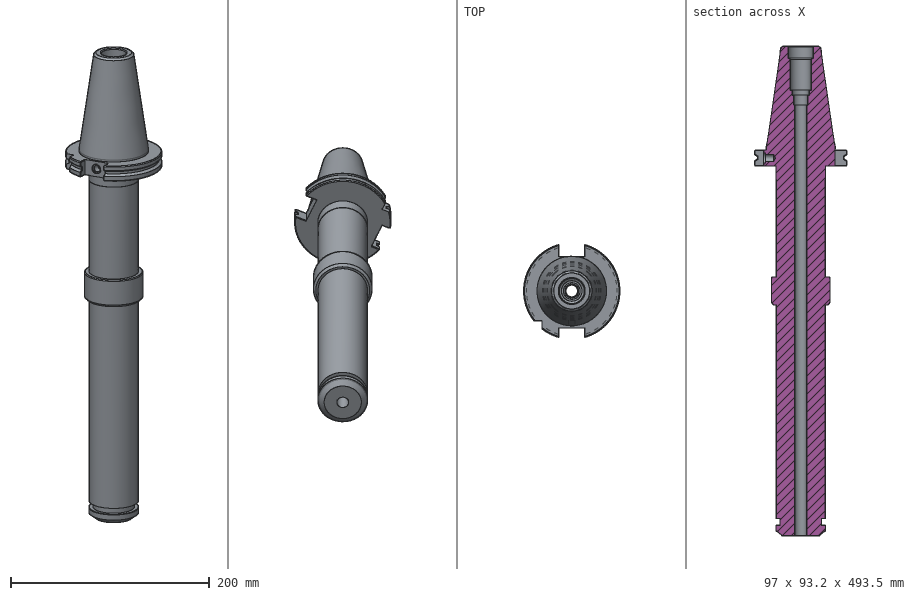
import cadquery as cq

TOTAL_LENGTH = 493.5
TAPER_LENGTH = 102.5
FLANGE_TOP = 104.5
FLANGE_BOTTOM = 121.0
NECK_BOTTOM = 134.8
COLLAR_TOP = 232.5
COLLAR_BOTTOM = 261.0
NUT_GROOVE_TOP = 476.5
NUT_TOP = 482.5
NUT_RIM_BOTTOM = 488.5
NUT_SHOULDER = 489.0

TAPER_LARGE_DIAMETER = 70.0
TAPER_RATIO = 7 / 24
FLANGE_DIAMETER = 97.0
NECK_DIAMETER = 50.5
SHANK_DIAMETER = 50.0
COLLAR_DIAMETER = 59.0
NUT_GROOVE_DIAMETER = 42.0
NUT_DIAMETER = 50.5
NUT_SHOULDER_DIAMETER = 48.5
NUT_FACE_DIAMETER = 37.5

TAPER_CHAMFER = 2.0
FLANGE_CHAMFER = 1.0
COLLAR_TOP_CHAMFER = 1.0
COLLAR_BOTTOM_CHAMFER = 2.5
NUT_TOP_CHAMFER = 0.5

RIM_GROOVE_ROOT_DIAMETER = 91.5
RIM_GROOVE_MIDDLE = 112.5
RIM_GROOVE_ROOT_WIDTH = 2.5
RIM_GROOVE_MOUTH_WIDTH = 6.5

MOUTH_DIAMETER = 27.0
PILOT_DIAMETER = 25.0
PILOT_DEPTH = 12.0
THREAD_CHAMFER_HEIGHT = 1.5
THREAD_DIAMETER = 20.5
THREAD_DEPTH = 44.5
STEP_DIAMETER = 17.0
STEP_DEPTH = 49.5
LOWER_BORE_DIAMETER = 14.0
LOWER_BORE_DEPTH = 59.0
THROUGH_DIAMETER = 12.0

KEYWAY_WIDTH = 25.5
FRONT_KEYWAY_FLOOR = 37.5
REAR_KEYWAY_FLOOR = 34.5
KEYWAY_CHAMFER = 0.75
NOTCH_OFFSET = 30.0

SIDE_HOLE_DIAMETER = 7.0
SIDE_HOLE_DEPTH = 10.0
SIDE_COUNTERBORE_DIAMETER = 10.0
SIDE_COUNTERBORE_DEPTH = 2.0
SIDE_HOLE_TIP_DEPTH = 2.0

TOLERANCE = 0.005

FLANGE_MIDDLE = (FLANGE_TOP + FLANGE_BOTTOM) / 2


def height(depth):
    """Z of a level given by its distance below the small end of the taper."""
    return TOTAL_LENGTH - depth


def revolve(profile):
    """Revolve (diameter, depth) points, closed along the axis, about Z."""
    points = [(diameter / 2, height(depth)) for diameter, depth in profile]
    points = [(0, points[0][1])] + points + [(0, points[-1][1])]
    return cq.Workplane("XZ").polyline(points).close().revolve(360, (0, 0), (0, 1))


def turned_body():
    small_diameter = TAPER_LARGE_DIAMETER - TAPER_RATIO * TAPER_LENGTH
    chamfered_taper_diameter = small_diameter + TAPER_RATIO * TAPER_CHAMFER
    half_mouth = RIM_GROOVE_MOUTH_WIDTH / 2
    half_root = RIM_GROOVE_ROOT_WIDTH / 2
    return revolve([
        (small_diameter - 2 * TAPER_CHAMFER, 0),
        (chamfered_taper_diameter, TAPER_CHAMFER),
        (TAPER_LARGE_DIAMETER, TAPER_LENGTH),
        (TAPER_LARGE_DIAMETER, FLANGE_TOP),
        (FLANGE_DIAMETER - 2 * FLANGE_CHAMFER, FLANGE_TOP),
        (FLANGE_DIAMETER, FLANGE_TOP + FLANGE_CHAMFER),
        (FLANGE_DIAMETER, RIM_GROOVE_MIDDLE - half_mouth),
        (RIM_GROOVE_ROOT_DIAMETER, RIM_GROOVE_MIDDLE - half_root),
        (RIM_GROOVE_ROOT_DIAMETER, RIM_GROOVE_MIDDLE + half_root),
        (FLANGE_DIAMETER, RIM_GROOVE_MIDDLE + half_mouth),
        (FLANGE_DIAMETER, FLANGE_BOTTOM - FLANGE_CHAMFER),
        (FLANGE_DIAMETER - 2 * FLANGE_CHAMFER, FLANGE_BOTTOM),
        (NECK_DIAMETER, FLANGE_BOTTOM),
        (NECK_DIAMETER, NECK_BOTTOM),
        (SHANK_DIAMETER, NECK_BOTTOM),
        (SHANK_DIAMETER, COLLAR_TOP),
        (COLLAR_DIAMETER - 2 * COLLAR_TOP_CHAMFER, COLLAR_TOP),
        (COLLAR_DIAMETER, COLLAR_TOP + COLLAR_TOP_CHAMFER),
        (COLLAR_DIAMETER, COLLAR_BOTTOM - COLLAR_BOTTOM_CHAMFER),
        (COLLAR_DIAMETER - 2 * COLLAR_BOTTOM_CHAMFER, COLLAR_BOTTOM),
        (SHANK_DIAMETER, COLLAR_BOTTOM),
        (SHANK_DIAMETER, NUT_GROOVE_TOP),
        (NUT_GROOVE_DIAMETER, NUT_GROOVE_TOP),
        (NUT_GROOVE_DIAMETER, NUT_TOP),
        (NUT_DIAMETER - 2 * NUT_TOP_CHAMFER, NUT_TOP),
        (NUT_DIAMETER, NUT_TOP + NUT_TOP_CHAMFER),
        (NUT_DIAMETER, NUT_RIM_BOTTOM),
        (NUT_SHOULDER_DIAMETER, NUT_SHOULDER),
        (NUT_FACE_DIAMETER, TOTAL_LENGTH),
    ])


def axial_bore():
    mouth_chamfer = (MOUTH_DIAMETER - PILOT_DIAMETER) / 2
    return revolve([
        (MOUTH_DIAMETER, 0),
        (PILOT_DIAMETER, mouth_chamfer),
        (PILOT_DIAMETER, PILOT_DEPTH),
        (THREAD_DIAMETER, PILOT_DEPTH + THREAD_CHAMFER_HEIGHT),
        (THREAD_DIAMETER, THREAD_DEPTH),
        (STEP_DIAMETER, THREAD_DEPTH),
        (STEP_DIAMETER, STEP_DEPTH),
        (LOWER_BORE_DIAMETER, STEP_DEPTH),
        (LOWER_BORE_DIAMETER, LOWER_BORE_DEPTH),
        (THROUGH_DIAMETER, LOWER_BORE_DEPTH),
        (THROUGH_DIAMETER, TOTAL_LENGTH),
    ])


def flange_block(x_min, x_max, y_min, y_max):
    """Cutting block as tall as the flange."""
    thickness = FLANGE_BOTTOM - FLANGE_TOP
    corner = (x_min, y_min, height(FLANGE_BOTTOM))
    return cq.Workplane("XY").box(x_max - x_min, y_max - y_min, thickness, centered=False).translate(corner)


def flange_cutouts():
    reach = FLANGE_DIAMETER / 2
    half_width = KEYWAY_WIDTH / 2
    front_keyway = flange_block(-half_width, half_width, -reach, -FRONT_KEYWAY_FLOOR)
    rear_keyway = flange_block(-half_width, half_width, REAR_KEYWAY_FLOOR, reach)
    corner_notch = flange_block(-reach, -NOTCH_OFFSET, -reach, -NOTCH_OFFSET)
    return front_keyway.union(rear_keyway).union(corner_notch)


def side_hole():
    """Counterbored radial hole with a conical drill tip."""
    floor = cq.Workplane("XZ", origin=(0, -FRONT_KEYWAY_FLOOR, height(FLANGE_MIDDLE)))
    counterbore = floor.circle(SIDE_COUNTERBORE_DIAMETER / 2).extrude(-SIDE_COUNTERBORE_DEPTH)
    hole = floor.circle(SIDE_HOLE_DIAMETER / 2).extrude(-SIDE_HOLE_DEPTH)
    tip_start = cq.Vector(0, SIDE_HOLE_DEPTH - FRONT_KEYWAY_FLOOR, height(FLANGE_MIDDLE))
    inward = cq.Vector(0, 1, 0)
    tip = cq.Workplane(cq.Solid.makeCone(SIDE_HOLE_DIAMETER / 2, 0, SIDE_HOLE_TIP_DEPTH, tip_start, inward))
    return counterbore.union(hole).union(tip)


def keyway_rim_edges(body):
    """Edges where the keyway walls meet the flange faces and rim, without the floor edges."""
    half_width = KEYWAY_WIDTH / 2
    edges = []
    for edge in body.edges().vals():
        box = edge.BoundingBox()
        on_wall = box.xlen < TOLERANCE and abs(abs(box.center.x) - half_width) < TOLERANCE
        on_floor = box.ylen < TOLERANCE and box.zlen > FLANGE_BOTTOM - FLANGE_TOP - TOLERANCE
        if on_wall and not on_floor:
            edges.append(edge)
    return edges


body = turned_body().cut(axial_bore()).cut(flange_cutouts()).cut(side_hole())
result = body.newObject(keyway_rim_edges(body)).chamfer(KEYWAY_CHAMFER)